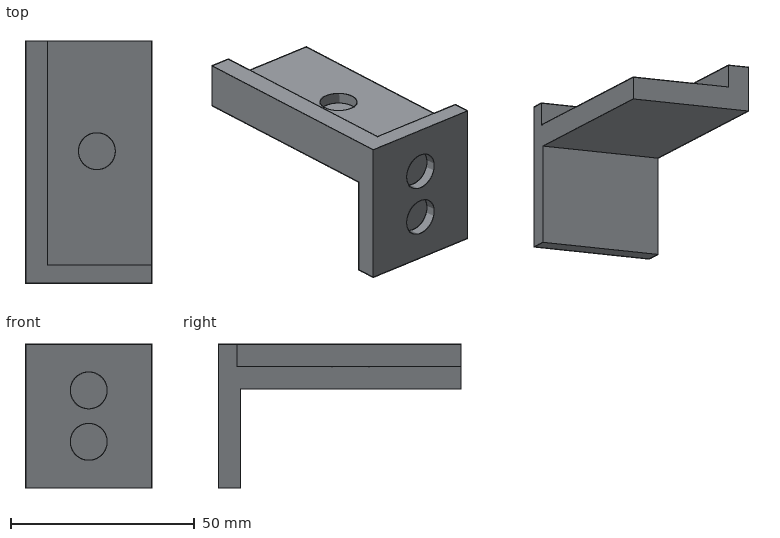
import cadquery as cq

width = 34.4
length = 66.0
height = 39.2

wall = 6.0
front_rim = 5.0
bar_height = 12.3
recess_depth = 6.15

hole_diameter = 10.0
hole_depth = 3.0
shelf_hole_x = 19.4
shelf_hole_y = 35.95
front_hole_drops = (12.6, 26.6)

bar_bottom = height - bar_height
shelf_top = height - recess_depth


def corner_box(x_size, y_size, z_size, corner):
    return cq.Workplane("XY").box(x_size, y_size, z_size, centered=False).translate(corner)


def blind_hole(mouth, direction):
    return cq.Workplane(
        cq.Solid.makeCylinder(hole_diameter / 2, hole_depth, cq.Vector(*mouth), cq.Vector(*direction))
    )


front_plate = corner_box(width, wall, height, (0, 0, 0))
bar = corner_box(width, length, bar_height, (0, 0, bar_bottom))
result = front_plate.union(bar)

recess = corner_box(width - wall, length - front_rim, recess_depth, (wall, front_rim, shelf_top))
result = result.cut(recess)

result = result.cut(blind_hole((shelf_hole_x, shelf_hole_y, shelf_top), (0, 0, -1)))

for drop in front_hole_drops:
    result = result.cut(blind_hole((width / 2, 0, height - drop), (0, 1, 0)))